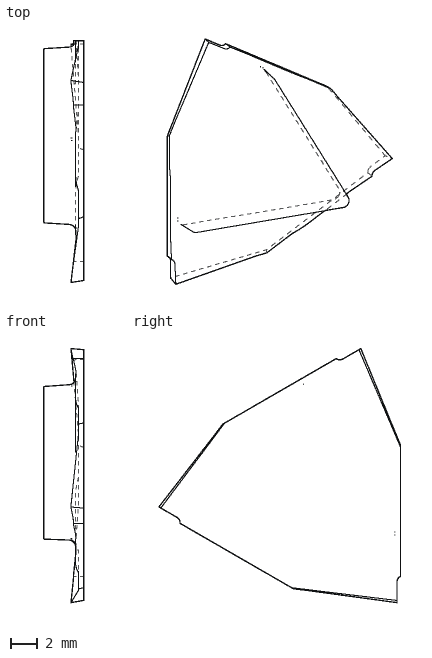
import cadquery as cq
import math

FRONT = cq.Plane(origin=(0, 0, 0), xDir=(0, -1, 0), normal=(-1, 0, 0))
SECTOR_ANGLES = (0, -120, -240)
SECTOR_STEP = SECTOR_ANGLES[1]

FLOOR_HEIGHT = 0.4
BASE_HEIGHT = 0.62
TIP_HEIGHT = 0.97
EDGE_DISTANCE = 7.1
TIP_RADIUS = 11.07
TIP_ANGLE = 231.9
ELBOW_Z = 3.05
STEP_START_Z = -6.74
STEP_END_Z = -7.14
TIP_WALL_DRAFT = 10

WING_FOOT = (-6.72, 3.91)
WING_FOOT_ANGLE = 25.8
WING_FOOT_ROUND = 0.8

RAMP_TOE = [(-9.0, -1.1), (-7.06, 0.67), (-4.03, 3.59), (-2.2, 5.91), (-1.05, 8.6), (-0.75, 11.1)]
RAMP_SLOPE = 22
RAMP_CREST_RADIUS = 2.7
RAMP_TOE_RADIUS = 0.2

BOSS_HEIGHT = 3.0
BOSS_DRAFT = 2
BOSS_TOP_INRADIUS = 3.97
BOSS_CORNER_RADIUS = 0.5
BOSS_TOP_ROUND = 0.1
BOSS_FOOT_RADIUS = 0.5
BOSS_CORNER_ANGLES = (90, 210, 330)

TOOL_SIZE = 2 * TIP_RADIUS
FACING_LIMIT = -0.9
TOLERANCE = 0.001


def polar(radius, degrees):
    angle = math.radians(degrees)
    return radius * math.cos(angle), radius * math.sin(angle)


def turned(point, degrees):
    """Point of the front frame turned about the axis."""
    angle = math.degrees(math.atan2(point[1], point[0]))
    return polar(math.hypot(*point), angle + degrees)


def in_space(point, height=0.0):
    return FRONT.toWorldCoords((point[0], point[1], height))


def in_all_sectors(solid):
    """The solid repeated in the three sectors and joined."""
    joined = solid
    for angle in SECTOR_ANGLES[1:]:
        joined = joined.union(solid.rotate((0, 0, 0), (-1, 0, 0), angle))
    return joined


ELBOW = (-EDGE_DISTANCE, ELBOW_Z)
LOWER_TIP = polar(TIP_RADIUS, TIP_ANGLE)
UPPER_TIP = turned(LOWER_TIP, SECTOR_STEP)


def plate_blank():
    """Prism over the plate outline at tip height, with upright walls."""
    step_start = (-EDGE_DISTANCE, STEP_START_Z)
    step_end = (LOWER_TIP[0], STEP_END_Z)
    outline = cq.Workplane(FRONT).moveTo(*LOWER_TIP)
    for angle in SECTOR_ANGLES:
        outline = (
            outline.lineTo(*turned(step_end, angle))
            .tangentArcPoint(turned(step_start, angle), relative=False)
            .lineTo(*turned(ELBOW, angle))
            .lineTo(*turned(UPPER_TIP, angle))
        )
    return outline.close().extrude(TIP_HEIGHT)


def tip_wall_cutter():
    """Block beyond the leaning wall, which meets the elbow at floor height and the tip at its top."""
    lean = math.tan(math.radians(TIP_WALL_DRAFT))
    along = (UPPER_TIP[0] - ELBOW[0], UPPER_TIP[1] - ELBOW[1])
    tip_overhang = (TIP_HEIGHT - FLOOR_HEIGHT) * lean
    direction = math.degrees(math.atan2(along[1], along[0]) - math.asin(tip_overhang / math.hypot(*along)))
    wall = cq.Plane(
        origin=in_space(ELBOW, FLOOR_HEIGHT),
        xDir=in_space(polar(1, direction)),
        normal=in_space(polar(1, direction + 90), -lean),
    )
    return cq.Workplane(wall).rect(TOOL_SIZE, TOOL_SIZE).extrude(TOOL_SIZE / 2)


def floor_with_wing():
    """Floor slab that rises beyond the wing foot line, with the crease rounded."""
    uphill = polar(1, WING_FOOT_ANGLE + 90)
    run = (UPPER_TIP[0] - WING_FOOT[0]) * uphill[0] + (UPPER_TIP[1] - WING_FOOT[1]) * uphill[1]
    reach = 2 * run
    reach_height = FLOOR_HEIGHT + (TIP_HEIGHT - FLOOR_HEIGHT) * reach / run
    section = cq.Plane(
        origin=in_space(WING_FOOT),
        xDir=in_space(uphill),
        normal=in_space(polar(1, WING_FOOT_ANGLE)),
    )
    slab = (
        cq.Workplane(section)
        .moveTo(-TOOL_SIZE / 2, 0)
        .lineTo(-TOOL_SIZE / 2, FLOOR_HEIGHT)
        .lineTo(0, FLOOR_HEIGHT)
        .lineTo(reach, reach_height)
        .lineTo(reach, 0)
        .close()
        .extrude(TOOL_SIZE / 2, both=True)
    )
    crease = cq.NearestToPointSelector(in_space(WING_FOOT, FLOOR_HEIGHT).toTuple())
    return slab.edges(crease).fillet(WING_FOOT_ROUND)


def platform(blank):
    """Raised base bounded by the three ramps and the plate outline, with rounded crests."""
    toe = cq.Workplane(FRONT).workplane(offset=FLOOR_HEIGHT).moveTo(*RAMP_TOE[0])
    for angle in SECTOR_ANGLES:
        toe_points = [turned(point, angle) for point in RAMP_TOE[1:]]
        next_start = turned(RAMP_TOE[0], angle + SECTOR_STEP)
        toe = toe.spline(toe_points, includeCurrent=True).lineTo(*next_start)
    raised = toe.close().extrude(BASE_HEIGHT - FLOOR_HEIGHT, taper=90 - RAMP_SLOPE)
    return raised.intersect(blank).faces("<X").edges("%BSPLINE").fillet(RAMP_CREST_RADIUS)


def with_rounded_ramp_toes(plate):
    """Rounds the curved edges where the ramps meet the floor and the wings."""
    toe_edges = []
    for face in plate.faces("%PLANE").vals():
        faces_front = face.normalAt().x < FACING_LIMIT
        is_base = abs(face.Center().x + BASE_HEIGHT) < TOLERANCE
        if faces_front and not is_base:
            toe_edges += [edge for edge in face.Edges() if edge.geomType() == "BSPLINE"]
    return plate.newObject(toe_edges).fillet(RAMP_TOE_RADIUS)


def boss():
    foot_inradius = BOSS_TOP_INRADIUS + BOSS_HEIGHT * math.tan(math.radians(BOSS_DRAFT))
    foot_corners = [polar(2 * foot_inradius, angle) for angle in BOSS_CORNER_ANGLES]
    block = cq.Workplane(FRONT).polyline(foot_corners).close().extrude(BOSS_HEIGHT, taper=BOSS_DRAFT)
    block = block.edges("not #X").fillet(BOSS_CORNER_RADIUS)
    return block.faces("<X").edges().fillet(BOSS_TOP_ROUND)


def with_rounded_boss_foot(body):
    """Rounds the edges where the boss sides meet the plate."""
    foot_edges = []
    for face in body.faces().vals():
        box = face.BoundingBox()
        is_boss_side = box.xmin < -BOSS_HEIGHT / 2 < box.xmax
        if is_boss_side:
            foot_edges += [edge for edge in face.Edges() if edge.BoundingBox().xmin > -TIP_HEIGHT]
    return body.newObject(foot_edges).fillet(BOSS_FOOT_RADIUS)


trimmed_blank = plate_blank().cut(in_all_sectors(tip_wall_cutter()))
floor = in_all_sectors(floor_with_wing().intersect(trimmed_blank)).clean()
plate = with_rounded_ramp_toes(floor.union(platform(trimmed_blank)))
result = with_rounded_boss_foot(plate.union(boss()))